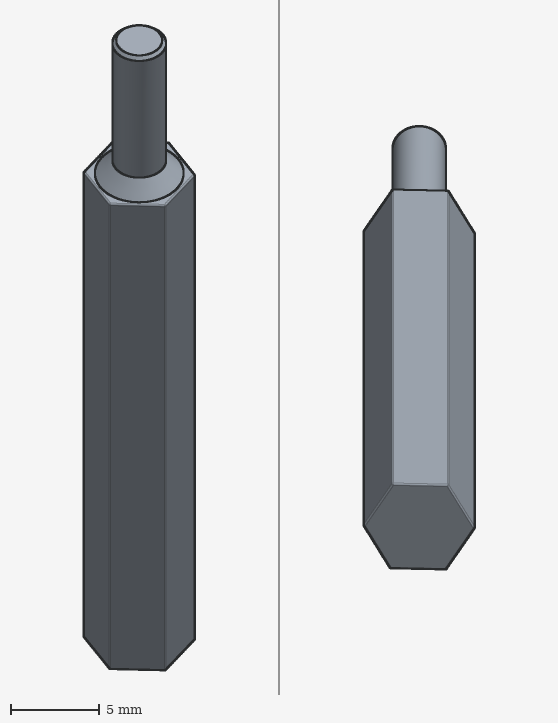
import cadquery as cq
import math

total_length = 45.0
stud_length = 10.0
body_length = total_length - stud_length

across_flats = 5.5
across_corners = across_flats / math.cos(math.pi / 6)
body_edge_radius = 0.1

stud_radius = 1.55
collar_height = 1.0
collar_base_radius = stud_radius + collar_height
stud_tip_chamfer = 0.22


def hex_body():
    """Hexagonal bar with corners on the X axis and all edges rounded."""
    bar = cq.Workplane("XY").polygon(6, across_corners).extrude(body_length)
    return bar.edges().fillet(body_edge_radius)


def stud():
    """Revolved stud: conical collar, straight shank and chamfered tip."""
    collar_top = body_length + collar_height
    profile = [
        (0, body_length),
        (collar_base_radius, body_length),
        (stud_radius, collar_top),
        (stud_radius, total_length - stud_tip_chamfer),
        (stud_radius - stud_tip_chamfer, total_length),
        (0, total_length),
    ]
    return cq.Workplane("XZ").polyline(profile).close().revolve(360, (0, 0), (0, 1))


result = hex_body().union(stud())